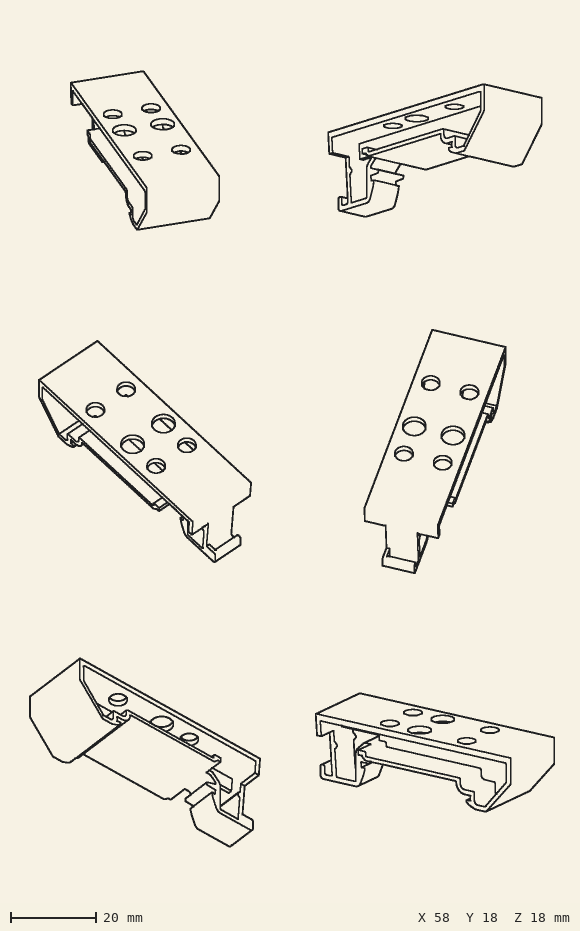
import cadquery as cq
import math

LENGTH = 58.0
WIDTH = 18.0
HEIGHT = 18.0

WALL = 1.22
TOP_WALL = 1.53
TRAY_WALL = 1.02
WEB_THICKNESS = 1.0

ARM_TOP_X = 2.18
ARM_LEAN = math.tan(math.radians(4.2))
ARM_THICKNESS = 1.24
ARM_WIDTH = 7.8
RELIEF_X = 14.45
RELIEF_Z = 12.65
LIP_HEIGHT = 3.52
LIP_THICKNESS = 1.3
LIP_RADIUS = 0.5
POCKET_END_WALL = 0.85

FLOOR_Z = 10.16
TRAY_Z = FLOOR_Z - TRAY_WALL
BRIDGE_Z = 11.38
BRIDGE_UNDER_Z = BRIDGE_Z - WALL
COLUMN_X = 10.1

STEP_X = 43.62
SHELF_Z = 7.54
SHELF_RADIUS = 1.2
SHELF_UNDER_RADIUS = 2.55
TOE_Z = 3.2
TOE_WALL_X = 47.62
SLOPE_TOE_X = 50.9
SLOPE_TOP_Z = 11.45

HOLES = [(20.5, 4.3), (29.0, 5.5), (42.5, 4.3)]
HOLE_PITCH_Y = 9.5

NOTCH_TOP_Z = 6.35
NOTCH_BOTTOM_Z = 5.07
BEAK_TOP_Z = 5.05
BEAK_TIP_X = 44.9
TONGUE_TIP_X = RELIEF_X
BRIDGE_END_X = 16.55

BUMP_Z = 9.1
BUMP_HALF_HEIGHT = 1.0
BUMP_TIP_X = 4.95

SHARP = 0
TINY_RADIUS = 0.1
SMALL_RADIUS = 0.2
EDGE_RADIUS = 0.25
TIP_RADIUS = 0.3
FILLET_RADIUS = 0.5
LARGE_RADIUS = 1.0
COLUMN_RADIUS = 2.0
BRIDGE_RADIUS = 0.7
HOOK_BOTTOM_RADIUS = 1.5
HOOK_FLANK_RADIUS = 4.0
BEAK_RADIUS = 1.5

CLEARANCE = 1.0


def arm_outer_x(z):
    """X of the leaning arm's outer face at height z."""
    return ARM_TOP_X + (HEIGHT - z) * ARM_LEAN


def arm_inner_x(z):
    """X of the leaning arm's inner face at height z."""
    return arm_outer_x(z) + ARM_THICKNESS


def unit(start, end):
    """Unit vector in XZ from start to end."""
    span = math.hypot(end[0] - start[0], end[1] - start[1])
    return ((end[0] - start[0]) / span, (end[1] - start[1]) / span)


def corner_arc(previous, corner, following):
    """Start, middle and end of the tangent arc rounding one (x, z, radius) corner."""
    x, z, radius = corner
    back = unit(corner, previous)
    ahead = unit(corner, following)
    half_angle = math.acos(back[0] * ahead[0] + back[1] * ahead[1]) / 2
    setback = radius / math.tan(half_angle)
    bisector = unit((0, 0), (back[0] + ahead[0], back[1] + ahead[1]))
    depth = radius / math.sin(half_angle) - radius
    start = (x + back[0] * setback, z + back[1] * setback)
    middle = (x + bisector[0] * depth, z + bisector[1] * depth)
    end = (x + ahead[0] * setback, z + ahead[1] * setback)
    return start, middle, end


def rounded_prism(corners, y_min, y_max):
    """Prism from y_min to y_max over a closed XZ outline of (x, z, radius) corners."""
    outline = cq.Workplane("XZ", origin=(0, y_min, 0))
    started = False
    for i, corner in enumerate(corners):
        if corner[2] > 0:
            arc = corner_arc(corners[i - 1], corner, corners[(i + 1) % len(corners)])
        else:
            arc = (corner[:2],)
        outline = outline.lineTo(*arc[0]) if started else outline.moveTo(*arc[0])
        started = True
        if len(arc) > 1:
            outline = outline.threePointArc(arc[1], arc[2])
    return outline.close().extrude(y_min - y_max)


def full_width_prism(corners):
    """Prism over the outline, as wide as the part and centred on Y."""
    return rounded_prism(corners, -WIDTH / 2, WIDTH / 2)


def outer_body():
    """Filled side profile: top plate, end wall, both rail hooks, latch foot and arm."""
    notch_x = TOE_WALL_X - WALL
    under_step_x = STEP_X - WALL
    under_shelf_z = SHELF_Z - WALL
    far_hook = [
        (LENGTH, HEIGHT, EDGE_RADIUS),
        (LENGTH, SLOPE_TOP_Z, LARGE_RADIUS),
        (SLOPE_TOE_X, TOE_Z, TIP_RADIUS),
        (BEAK_TIP_X + 3.0, TOE_Z, FILLET_RADIUS),
        (BEAK_TIP_X + 1.1, TOE_Z + 0.75, BEAK_RADIUS),
        (BEAK_TIP_X, BEAK_TOP_Z, EDGE_RADIUS),
        (notch_x, BEAK_TOP_Z, SHARP),
        (notch_x, under_shelf_z, SHARP),
        (under_step_x, under_shelf_z, SHELF_UNDER_RADIUS),
        (under_step_x, TRAY_Z, SMALL_RADIUS),
    ]
    fixed_hook = [
        (BRIDGE_END_X - 0.15, TRAY_Z, FILLET_RADIUS),
        (BRIDGE_END_X - 1.3, BRIDGE_UNDER_Z, TINY_RADIUS),
        (COLUMN_X + 3.1, BRIDGE_UNDER_Z, FILLET_RADIUS),
        (COLUMN_X + WALL, 8.4, TIP_RADIUS),
        (COLUMN_X + 2.3, 7.9, FILLET_RADIUS),
        (TONGUE_TIP_X, 7.25, TIP_RADIUS),
        (TONGUE_TIP_X - 0.2, 6.5, SMALL_RADIUS),
        (COLUMN_X + 1.5, NOTCH_TOP_Z, TINY_RADIUS),
        (COLUMN_X + 1.7, NOTCH_BOTTOM_Z, SHARP),
        (COLUMN_X + 2.7, NOTCH_BOTTOM_Z, TINY_RADIUS),
        (COLUMN_X + 2.3, 3.4, HOOK_FLANK_RADIUS),
        (COLUMN_X + 0.95, 0, HOOK_BOTTOM_RADIUS),
    ]
    latch_foot = [
        (0, 0, LARGE_RADIUS),
        (0, LIP_HEIGHT, LIP_RADIUS),
        (arm_outer_x(LIP_HEIGHT), LIP_HEIGHT, SHARP),
        (ARM_TOP_X, HEIGHT, SMALL_RADIUS),
    ]
    return full_width_prism(far_hook + fixed_hook + latch_foot)


def cavity():
    """Space enclosed by the arm, top plate, end wall, tray floor and fixed hook."""
    ceiling_z = HEIGHT - TOP_WALL
    toe_floor_z = TOE_Z + WALL
    bump_bottom_z = BUMP_Z - BUMP_HALF_HEIGHT
    bump_top_z = BUMP_Z + BUMP_HALF_HEIGHT
    arm_side = [
        (arm_inner_x(WALL), WALL, TINY_RADIUS),
        (arm_inner_x(bump_bottom_z), bump_bottom_z, SMALL_RADIUS),
        (BUMP_TIP_X, BUMP_Z, TIP_RADIUS),
        (arm_inner_x(bump_top_z), bump_top_z, SMALL_RADIUS),
        (arm_inner_x(ceiling_z), ceiling_z, SMALL_RADIUS),
    ]
    far_side = [
        (LENGTH - WALL, ceiling_z, FILLET_RADIUS),
        (LENGTH - WALL, SLOPE_TOP_Z + 0.3, SMALL_RADIUS),
        (SLOPE_TOE_X - 0.25, toe_floor_z, SHARP),
        (TOE_WALL_X, toe_floor_z, LARGE_RADIUS),
        (TOE_WALL_X, SHELF_Z, TIP_RADIUS),
        (STEP_X, SHELF_Z, SHELF_RADIUS),
        (STEP_X, FLOOR_Z, FILLET_RADIUS),
    ]
    bridge = [
        (BRIDGE_END_X, FLOOR_Z, TIP_RADIUS),
        (BRIDGE_END_X, BRIDGE_Z, FILLET_RADIUS),
        (COLUMN_X + 2.45, BRIDGE_Z, BRIDGE_RADIUS),
        (COLUMN_X, 9.0, COLUMN_RADIUS),
        (COLUMN_X, WALL, EDGE_RADIUS),
    ]
    return full_width_prism(arm_side + far_side + bridge)


def relief_block(y_min, y_max):
    """Space below and to the left of the full-width body."""
    corners = [
        (-CLEARANCE, -CLEARANCE, SHARP),
        (RELIEF_X, -CLEARANCE, SHARP),
        (RELIEF_X, RELIEF_Z, TIP_RADIUS),
        (-CLEARANCE, RELIEF_Z, SHARP),
    ]
    return rounded_prism(corners, y_min, y_max)


def web():
    """Mid-plane web filling the cavity, left open around the spring arm."""
    half = WEB_THICKNESS / 2
    slab = cq.Workplane("XY").box(2 * LENGTH, WEB_THICKNESS, 4 * HEIGHT)
    return cavity().intersect(slab).cut(relief_block(-half, half))


def latch_pocket():
    """Slot behind the latch lip, open on top and on the -Y side."""
    above_lip_z = LIP_HEIGHT + CLEARANCE
    corners = [
        (LIP_THICKNESS, WALL, FILLET_RADIUS),
        (LIP_THICKNESS, LIP_HEIGHT, LIP_RADIUS),
        (0, LIP_HEIGHT, SHARP),
        (0, above_lip_z, SHARP),
        (arm_outer_x(above_lip_z), above_lip_z, SHARP),
        (arm_outer_x(WALL), WALL, FILLET_RADIUS),
    ]
    return rounded_prism(corners, -ARM_WIDTH / 2, ARM_WIDTH / 2 - POCKET_END_WALL)


def top_holes():
    """Round holes through the top plate only, mirrored about the web."""
    drills = None
    for x, diameter in HOLES:
        centres = [(x, -HOLE_PITCH_Y / 2), (x, HOLE_PITCH_Y / 2)]
        plate_top = cq.Workplane("XY", origin=(0, 0, HEIGHT))
        pair = plate_top.pushPoints(centres).circle(diameter / 2).extrude(-TOP_WALL)
        drills = drills.union(pair) if drills else pair
    return drills


body = outer_body().cut(cavity())
body = body.cut(relief_block(-WIDTH / 2, -ARM_WIDTH / 2))
body = body.cut(relief_block(ARM_WIDTH / 2, WIDTH / 2))
body = body.union(web())
body = body.cut(latch_pocket())
result = body.cut(top_holes())